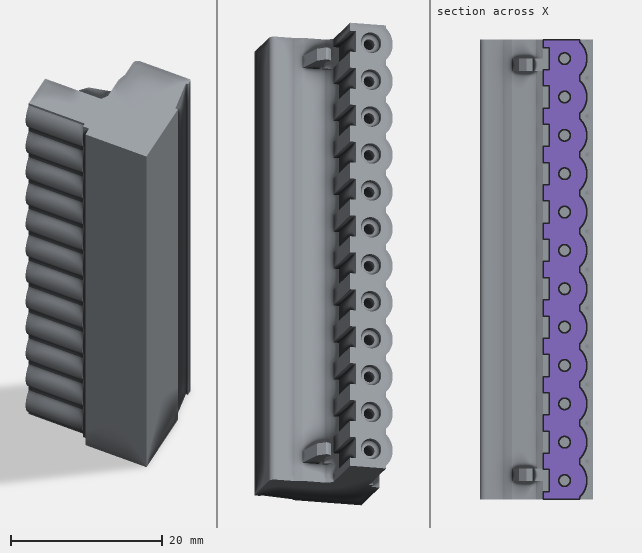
import cadquery as cq
import math

length = 60.95
poles = 12
pitch = length / poles

depth = 18.2
height = 15.0
housing_front = 9.2
front_corner_radius = 0.75
recess_front = 8.85
recess_bottom = 7.55
recess_top = 10.7
recess_slope_top = 11.95
back_shoulder = 9.45
back_slope_bottom_x = 17.85
back_slope_top_x = 17.1
lip_bottom = 14.1
lip_x = 17.45
lip_radius = 0.25
underside_step = 1.15

plug_length = 8.3
plug_top = 6.65
web_bottom = 1.7
barrel_center_y = 3.8
barrel_radius = 3.0

mouth_radius = 1.4
mouth_depth = 1.0
bore_radius = 0.75
bore_depth = 4.9
slot_width = 2.85
slot_depth = 0.8

latch_width = 1.65
latch_offset = 2.5
latch_tip_x = 3.95
latch_nose_top = 8.85
latch_nose_bottom = 8.55
latch_bottom = 8.5
hook_bottom = 8.05
hook_front_x = 4.45
hook_rear_x = 4.75
hook_back_x = 5.1
latch_knee_x = 4.9
latch_knee_y = 9.8

stop_top = 8.0
stop_radius = 0.4


def pole_centers():
    return [pitch * (index + 0.5) for index in range(poles)]


def make_housing():
    outline = (
        cq.Workplane("XY")
        .moveTo(housing_front, 0)
        .lineTo(depth, 0)
        .lineTo(depth, back_shoulder)
        .lineTo(back_slope_bottom_x, back_shoulder)
        .lineTo(back_slope_top_x, lip_bottom)
        .lineTo(lip_x, lip_bottom)
        .lineTo(lip_x, height - lip_radius)
        .radiusArc((lip_x - lip_radius, height), -lip_radius)
        .lineTo(housing_front + front_corner_radius, height)
        .radiusArc((housing_front, height - front_corner_radius), -front_corner_radius)
        .lineTo(housing_front, recess_slope_top)
        .lineTo(recess_front, recess_top)
        .lineTo(recess_front, recess_bottom)
        .lineTo(plug_length, plug_top)
        .lineTo(plug_length, underside_step)
        .lineTo(housing_front, underside_step)
        .close()
    )
    return outline.extrude(length)


def make_plug():
    plug = (
        cq.Workplane("XY")
        .box(plug_length, plug_top - web_bottom, length, centered=False)
        .translate((0, web_bottom, 0))
    )
    half_chord = math.sqrt(barrel_radius**2 - (barrel_center_y - web_bottom) ** 2)
    for z in pole_centers():
        segment = (
            cq.Workplane("YZ")
            .moveTo(web_bottom, z - half_chord)
            .threePointArc((barrel_center_y - barrel_radius, z), (web_bottom, z + half_chord))
            .close()
            .extrude(plug_length)
        )
        plug = plug.union(segment)
    return plug


def round_cut(radius, cut_depth, z):
    return cq.Workplane("YZ").center(barrel_center_y, z).circle(radius).extrude(cut_depth)


def make_pole_cuts(z):
    slot = (
        cq.Workplane("XY")
        .box(plug_length, slot_depth, slot_width, centered=(False, False, True))
        .translate((0, plug_top - slot_depth, z))
    )
    mouth = round_cut(mouth_radius, mouth_depth, z)
    bore = round_cut(bore_radius, bore_depth, z)
    return [slot, mouth, bore]


def make_latch(z_start):
    arm = (
        cq.Workplane("XY", origin=(0, 0, z_start))
        .moveTo(housing_front, latch_bottom)
        .lineTo(hook_back_x, latch_bottom)
        .lineTo(hook_rear_x, hook_bottom)
        .lineTo(hook_front_x, hook_bottom)
        .lineTo(latch_tip_x, latch_nose_bottom)
        .lineTo(latch_tip_x, latch_nose_top)
        .lineTo(latch_knee_x, latch_knee_y)
        .lineTo(recess_front, recess_top)
        .lineTo(housing_front, recess_top)
        .close()
        .extrude(latch_width)
    )
    stop = (
        cq.Workplane("XY", origin=(0, 0, z_start))
        .moveTo(plug_length, plug_top)
        .lineTo(plug_length, stop_top - stop_radius)
        .radiusArc((plug_length + stop_radius, stop_top), stop_radius)
        .lineTo(housing_front, stop_top)
        .lineTo(housing_front, plug_top)
        .close()
        .extrude(latch_width)
    )
    return arm.union(stop)


result = make_housing().union(make_plug())
for pole_z in pole_centers():
    for cutter in make_pole_cuts(pole_z):
        result = result.cut(cutter)
for latch_z in (latch_offset, length - latch_offset - latch_width):
    result = result.union(make_latch(latch_z))